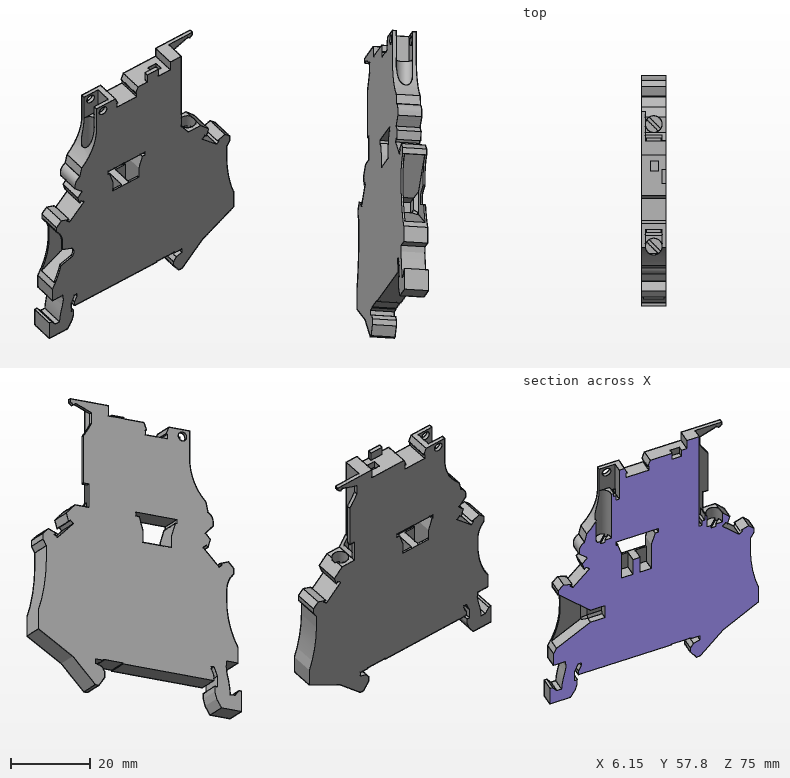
import cadquery as cq
import math


THICKNESS = 6.15
MID_X = THICKNESS / 2
TOP_Z = 74.98
REAR_Y = 57.8
BASE_TOP_Z = 46.93
BASE_BOTTOM_Z = 6.88
BASE_MID_Y = 29.38
MODULE_RELIEF_Z = 47.95
MODULE_TOP_Z = 72.24
MODULE_FRONT_Y = 14.74
BASE_SKIN = 0.5
MODULE_SKIN = 0.98
CLEARANCE = 5.0

HINGE_Y = 10.69
HINGE_Z = 49.06
HINGE_RADIUS = 2.62
PIN_RADIUS = 0.97

SCREW_RADIUS = MID_X - MODULE_SKIN
FRONT_SCREW_Y = 14.93
REAR_SCREW_Y = 45.6
FRONT_SCREW_Z = 50.0
REAR_SCREW_Z = 43.4
DRIVE_SLOT_WIDTH = 0.86
DRIVE_SLOT_DEPTH = 0.8
DRIVE_SLOT_ANGLE = -45
TEST_SLOT_LENGTH = 1.48
TEST_SLOT_DEPTH = 1.0
TEST_SLOT_STEP = 0.25
DEEP_SLOT_DEPTH = 2.5

MODULE_REAR_Y = 41.33
RAMP_FOOT_Y = 43.52
RAMP_TOP_Y = 41.5
RAMP_TOP_Z = 50.1

POCKET_BACK_Y = 19.17
POCKET_FLOOR_Z = 64.9
SEAL_HOLE_Y = 16.83
SEAL_HOLE_Z = 70.4
SEAL_HOLE_RADIUS = 1.18

TAB_FRONT_Y = 30.67
TAB_REAR_Y = 34.2
TAB_TOP_Z = 74.7
TAB_THICKNESS = 1.05
SOCKET_X = 2.2
SOCKET_WIDTH = 2.05
SOCKET_Y = 33.85
SOCKET_LENGTH = 2.55
SOCKET_DEPTH = 2.0

WINDOW_FRONT_Y = 19.9
WINDOW_REAR_Y = 28.05
WINDOW_FLOOR_Z = 40.29
WINDOW_BEND_Z = 43.45
WINDOW_FLARE = 1.08
PIT_DEPTH = 5.0
PIT_BAR_WIDTH = 2.0

MOUTH_BOTTOM_Y = 1.9
MOUTH_BOTTOM_Z = 18.42
MOUTH_TOP_Y = 2.45
MOUTH_TOP_Z = 36.24
FUNNEL_START_Y = 9.9
FUNNEL_END_Y = 11.2
THROAT_CHAMFER = 0.4
WIRE_HOLE_WIDTH = 3.2
WIRE_HOLE_BOTTOM_Z = 23.6
WIRE_HOLE_TOP_Z = 27.5
WIRE_HOLE_CHAMFER_X = 0.4
WIRE_HOLE_CHAMFER_Z = 0.85
WIRE_HOLE_DEPTH = 4.0


def extrude_x(sketch, x_start=0.0, x_end=THICKNESS):
    """Extrude a closed YZ outline between two X positions."""
    return sketch.extrude(x_end - x_start).translate((x_start, 0, 0))


def block(x_range, y_range, z_range):
    """Axis-aligned box given by its limits."""
    size = [high - low for low, high in (x_range, y_range, z_range)]
    corner = (x_range[0], y_range[0], z_range[0])
    return cq.Workplane("XY").box(*size, centered=False).translate(corner)


def disc_x(y, z, radius):
    """Cylinder along X through the whole thickness."""
    return extrude_x(cq.Workplane("YZ").center(y, z).circle(radius))


def mirrored(points):
    """Mirror YZ points about the base mid-plane and reverse their order."""
    return [(2 * BASE_MID_Y - y, z) for y, z in reversed(points)]


def base_outline():
    """Base profile with its marker grooves, rail feet and the window to the module."""
    rear_shoulder = [
        (47.4, BASE_TOP_Z), (49.88, 44.3), (49.22, 42.1), (48.73, 42.6), (47.87, 41.81),
        (52.4, 37.35), (53.2, 38.1), (52.6, 38.4), (55.0, 39.27), (56.51, 37.76), (56.51, 36.2),
    ]
    fixed_foot = [
        (REAR_Y, 12.08), (47.99, 6.39), (41.61, 0), (40.54, 0), (38.9, 2.4),
        (38.9, 3.9), (39.75, 5.15), (41.52, 5.69),
    ]
    rail_face = [
        (41.52, BASE_BOTTOM_Z), (39.23, BASE_BOTTOM_Z), (39.23, 7.13),
        (33.7, 7.13), (33.7, BASE_BOTTOM_Z), (7.9, BASE_BOTTOM_Z),
    ]
    spring_foot = [
        (7.9, 8.23), (8.64, 9.87), (8.64, 10.57), (7.85, 10.57), (6.88, 8.23), (6.88, 5.45),
        (7.62, 5.45), (7.62, 3.93), (7.08, 2.1), (5.73, 0), (0, 0), (0, 5.45), (0.74, 5.45),
        (1.88, 3.97), (3.19, 3.97),
    ]
    spring_neck = [(4.42, 11.15), (4.22, 12.74), (0.98, 12.74), (0.98, 16.85)]
    window = [
        (WINDOW_FRONT_Y - WINDOW_FLARE, BASE_TOP_Z), (WINDOW_FRONT_Y, WINDOW_BEND_Z),
        (WINDOW_FRONT_Y, WINDOW_FLOOR_Z), (WINDOW_REAR_Y, WINDOW_FLOOR_Z),
        (WINDOW_REAR_Y, WINDOW_BEND_Z), (WINDOW_REAR_Y + WINDOW_FLARE, BASE_TOP_Z),
    ]
    sketch = cq.Workplane("YZ").polyline(rear_shoulder)
    sketch = sketch.lineTo(55.57, 34.6).lineTo(55.57, 30.7)
    sketch = sketch.threePointArc((56.1, 24.2), (56.95, 20.0)).lineTo(REAR_Y, 17.24)
    for point in fixed_foot + rail_face + spring_foot:
        sketch = sketch.lineTo(*point)
    sketch = sketch.threePointArc((3.5, 6.6), (4.08, 9.2))
    for point in spring_neck:
        sketch = sketch.lineTo(*point)
    sketch = sketch.threePointArc((3.35, 22.4), (4.2, 28.97)).lineTo(4.2, 31.2)
    sketch = sketch.threePointArc((3.97, 33.2), (3.19, 35.05))
    for point in mirrored(rear_shoulder) + window:
        sketch = sketch.lineTo(*point)
    return sketch.close()


def hinge_lug():
    """Lug of the base that holds the hinge pin: a disc with a flat front and a 45 degree neck."""
    front_y = HINGE_Y - HINGE_RADIUS
    neck = (10.36, 45.7)
    flat_bottom = (front_y, neck[1] + neck[0] - front_y)
    lug_foot = (HINGE_Y + math.sqrt(HINGE_RADIUS**2 - (HINGE_Z - BASE_TOP_Z) ** 2), BASE_TOP_Z)
    neck_points = [
        (HINGE_Y, HINGE_Z), (front_y, HINGE_Z), flat_bottom, neck, (lug_foot[0], neck[1]), lug_foot,
    ]
    neck_body = extrude_x(cq.Workplane("YZ").polyline(neck_points).close())
    return disc_x(HINGE_Y, HINGE_Z, HINGE_RADIUS).union(neck_body)


def chamfered_section(width, bottom_z, top_z, chamfer_x, chamfer_z):
    """Points of an X-centred rectangle with its two lower corners chamfered, as (x, z)."""
    half = width / 2
    return [
        (MID_X - half, top_z), (MID_X + half, top_z), (MID_X + half, bottom_z + chamfer_z),
        (MID_X + half - chamfer_x, bottom_z), (MID_X - half + chamfer_x, bottom_z),
        (MID_X - half, bottom_z + chamfer_z),
    ]


def wire_entry():
    """Cutter for the tapered wire entry: open wedge, funnel and wire hole."""
    floor_slope = (WIRE_HOLE_BOTTOM_Z - MOUTH_BOTTOM_Z) / (FUNNEL_END_Y - MOUTH_BOTTOM_Y)
    roof_slope = (MOUTH_TOP_Z - WIRE_HOLE_TOP_Z) / (FUNNEL_END_Y - MOUTH_TOP_Y)
    throat_bottom = MOUTH_BOTTOM_Z + floor_slope * (FUNNEL_START_Y - MOUTH_BOTTOM_Y)
    throat_top = MOUTH_TOP_Z - roof_slope * (FUNNEL_START_Y - MOUTH_TOP_Y)
    outer_bottom = MOUTH_BOTTOM_Z - floor_slope * (MOUTH_BOTTOM_Y + CLEARANCE)
    wedge_points = [
        (-CLEARANCE, outer_bottom), (FUNNEL_START_Y, throat_bottom),
        (FUNNEL_START_Y, throat_top), (MOUTH_TOP_Y, MOUTH_TOP_Z), (-CLEARANCE, MOUTH_TOP_Z),
    ]
    wedge = extrude_x(
        cq.Workplane("YZ").polyline(wedge_points).close(), BASE_SKIN, THICKNESS - BASE_SKIN
    )
    throat_section = chamfered_section(
        THICKNESS - 2 * BASE_SKIN, throat_bottom, throat_top,
        THROAT_CHAMFER, THROAT_CHAMFER,
    )
    hole_section = chamfered_section(
        WIRE_HOLE_WIDTH, WIRE_HOLE_BOTTOM_Z, WIRE_HOLE_TOP_Z,
        WIRE_HOLE_CHAMFER_X, WIRE_HOLE_CHAMFER_Z,
    )
    funnel = (
        cq.Workplane("XZ", origin=(0, FUNNEL_START_Y, 0))
        .polyline(throat_section).close()
        .workplane(offset=FUNNEL_START_Y - FUNNEL_END_Y)
        .polyline(hole_section).close()
        .loft(ruled=True)
    )
    hole = (
        cq.Workplane("XZ", origin=(0, FUNNEL_END_Y, 0))
        .polyline(hole_section).close()
        .extrude(-WIRE_HOLE_DEPTH)
    )
    return wedge.union(funnel).union(hole)


def side_notch():
    """Cutter for the rounded notch in the +X wall of the wire entry."""
    notch = (
        cq.Workplane("YZ").moveTo(0, 30.6).lineTo(6.6, 27.9)
        .threePointArc((7.7, 26.3), (7.2, 24.75))
        .lineTo(3.4, 23.5).lineTo(0, 23.5).close()
    )
    return extrude_x(notch, THICKNESS - BASE_SKIN, THICKNESS)


def window_pits():
    """Cutter for the two pits in the window floor, either side of a flush cross bar."""
    window_mid_y = (WINDOW_FRONT_Y + WINDOW_REAR_Y) / 2
    both_pits = block(
        (BASE_SKIN, THICKNESS - BASE_SKIN),
        (WINDOW_FRONT_Y, WINDOW_REAR_Y),
        (WINDOW_FLOOR_Z - PIT_DEPTH, WINDOW_FLOOR_Z),
    )
    bar = block(
        (0, THICKNESS),
        (window_mid_y - PIT_BAR_WIDTH / 2, window_mid_y + PIT_BAR_WIDTH / 2),
        (WINDOW_FLOOR_Z - PIT_DEPTH, WINDOW_FLOOR_Z),
    )
    return both_pits.cut(bar)


def screw_well(y, head_z, open_z):
    """Cutter for a round screw well whose floor is the slotted screw head."""
    well = (
        cq.Workplane("XY", origin=(MID_X, y, head_z)).circle(SCREW_RADIUS).extrude(open_z - head_z)
    )
    drive_slot = (
        cq.Workplane("XY", origin=(0, 0, head_z - DRIVE_SLOT_DEPTH))
        .rect(2 * SCREW_RADIUS, DRIVE_SLOT_WIDTH)
        .extrude(DRIVE_SLOT_DEPTH)
        .rotate((0, 0, 0), (0, 0, 1), DRIVE_SLOT_ANGLE)
        .translate((MID_X, y, 0))
    )
    head = (
        cq.Workplane("XY", origin=(MID_X, y, head_z - DRIVE_SLOT_DEPTH))
        .circle(SCREW_RADIUS).extrude(DRIVE_SLOT_DEPTH)
    )
    return well.union(drive_slot.intersect(head))


def test_slot(deep_y, toward, surface_z, open_z):
    """Cutter for a stepped test slot; it starts at deep_y and runs toward +Y (1) or -Y (-1)."""
    half_y = deep_y + toward * TEST_SLOT_LENGTH / 2
    end_y = deep_y + toward * TEST_SLOT_LENGTH
    narrow_x = MODULE_SKIN + TEST_SLOT_STEP
    wide = block(
        (MODULE_SKIN, THICKNESS - MODULE_SKIN), sorted((deep_y, end_y)),
        (surface_z - TEST_SLOT_DEPTH, open_z),
    )
    deep = block(
        (narrow_x, THICKNESS - narrow_x), sorted((deep_y, half_y)),
        (surface_z - DEEP_SLOT_DEPTH, open_z),
    )
    return wide.union(deep)


def module_outline():
    """Lever module profile with its arm, marker groove and curved front."""
    arm = [
        (43.49, BASE_TOP_Z), (43.49, 53.15), (44.96, 53.15), (44.96, 65.77), (43.49, 68.02),
        (42.71, 69.45), (42.71, MODULE_TOP_Z), (47.22, 73.96), (47.91, 73.46), (48.73, 74.16),
        (48.73, TOP_Z), (37.88, TOP_Z), (37.88, MODULE_TOP_Z),
    ]
    marker_groove = [
        (27.76, MODULE_TOP_Z), (27.03, 70.39), (27.35, 70.23), (27.35, 69.04),
        (21.13, 69.04), (21.13, 70.23), (21.46, 70.39), (20.68, MODULE_TOP_Z),
    ]
    window_relief = [
        (18.43, BASE_TOP_Z), (18.43, MODULE_RELIEF_Z), (30.02, MODULE_RELIEF_Z), (30.02, BASE_TOP_Z),
    ]
    sketch = cq.Workplane("YZ").polyline(arm + marker_groove)
    sketch = sketch.lineTo(MODULE_FRONT_Y, MODULE_TOP_Z).lineTo(MODULE_FRONT_Y, 65.3)
    sketch = sketch.threePointArc((13.1, 58.0), (10.15, 54.1)).lineTo(9.54, 51.5)
    sketch = sketch.lineTo(HINGE_Y, HINGE_Z).lineTo(HINGE_Y, BASE_TOP_Z)
    for point in window_relief:
        sketch = sketch.lineTo(*point)
    return sketch.close()


def rear_relief():
    """Cutter that leaves only a thin -X plate behind the module, above a sloping foot."""
    points = [
        (RAMP_FOOT_Y, BASE_TOP_Z), (RAMP_TOP_Y, RAMP_TOP_Z), (MODULE_REAR_Y, RAMP_TOP_Z),
        (MODULE_REAR_Y, TOP_Z),
        (REAR_Y, TOP_Z), (REAR_Y, BASE_TOP_Z),
    ]
    return extrude_x(cq.Workplane("YZ").polyline(points).close(), MODULE_SKIN, THICKNESS)


def front_pocket():
    """Cutter for the open pocket at the top front of the module."""
    return block(
        (MODULE_SKIN, THICKNESS - MODULE_SKIN),
        (MODULE_FRONT_Y - CLEARANCE, POCKET_BACK_Y),
        (POCKET_FLOOR_Z, MODULE_TOP_Z),
    )


def make_base():
    base = extrude_x(base_outline()).union(hinge_lug())
    for cutter in (wire_entry(), side_notch(), window_pits()):
        base = base.cut(cutter)
    return base


def make_module():
    module = extrude_x(module_outline()).cut(rear_relief()).cut(front_pocket())
    module = module.cut(disc_x(SEAL_HOLE_Y, SEAL_HOLE_Z, SEAL_HOLE_RADIUS))
    module = module.cut(screw_well(FRONT_SCREW_Y, FRONT_SCREW_Z, POCKET_FLOOR_Z))
    module = module.cut(test_slot(POCKET_BACK_Y, -1, POCKET_FLOOR_Z, POCKET_FLOOR_Z))
    module = module.cut(block(
        (SOCKET_X, SOCKET_X + SOCKET_WIDTH),
        (SOCKET_Y, SOCKET_Y + SOCKET_LENGTH),
        (MODULE_TOP_Z - SOCKET_DEPTH, MODULE_TOP_Z),
    ))
    tab = block(
        (THICKNESS - TAB_THICKNESS, THICKNESS), (TAB_FRONT_Y, TAB_REAR_Y), (MODULE_TOP_Z, TAB_TOP_Z)
    )
    return module.union(tab)


rear_screw_well = screw_well(REAR_SCREW_Y, REAR_SCREW_Z, BASE_TOP_Z)
rear_test_slot = test_slot(MODULE_REAR_Y, 1, BASE_TOP_Z, RAMP_TOP_Z)
hinge_pin = disc_x(HINGE_Y, HINGE_Z, PIN_RADIUS)

base_body = make_base().cut(rear_screw_well).cut(rear_test_slot)
module_body = make_module().cut(base_body).cut(hinge_pin).cut(rear_test_slot)
base_body = base_body.cut(hinge_pin)

result = base_body.union(module_body, clean=False).union(hinge_pin, clean=False)